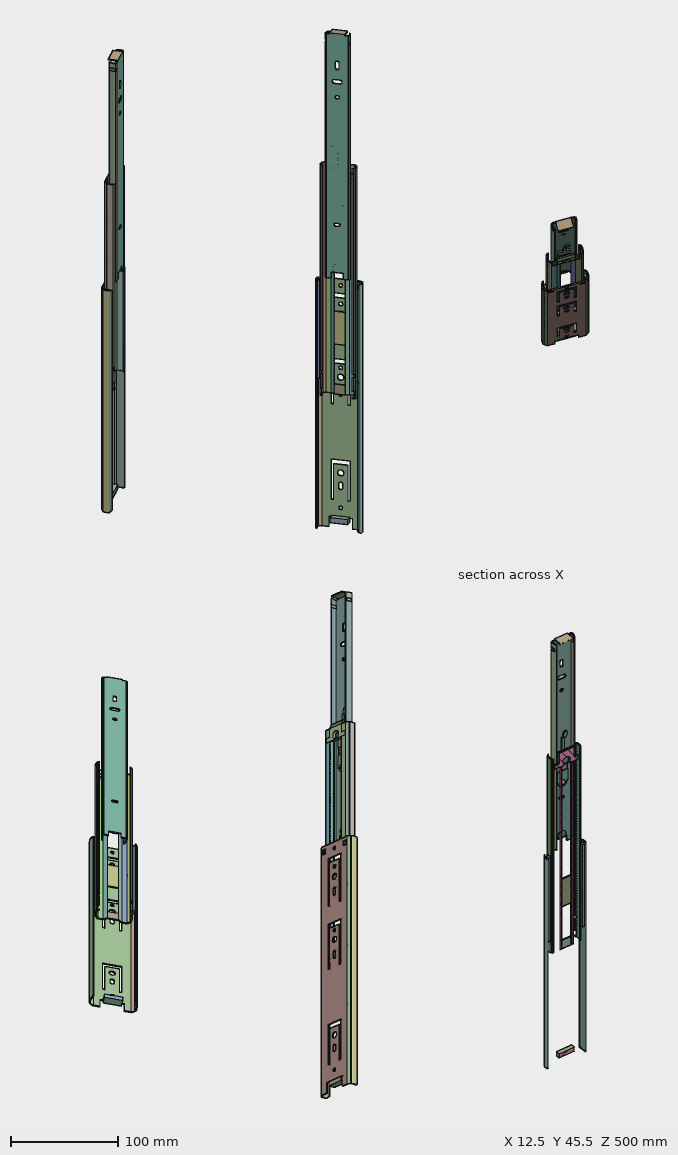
import cadquery as cq

total_length = 500.0
total_depth = 12.5
half_width = 45.5 / 2
sheet = 1.25

outer_length = 249.5
outer_web_half = 37.5 / 2
outer_depth = 21.5 / 2

shoulder_drop = 0.5
lip_drop = 2.0
outer_bulge = (2.5, 8.5)
middle_bulge = (4.5, 10.5)

middle_bottom = 135.0
middle_top = 366.0
middle_front = 1.5
middle_half = 35.5 / 2
middle_web_half = 14.5
middle_depth = 12.0
recess_half = 9.0
recess_depth = 2.0
slot_half = 10.5 / 2
upper_slot_bottom = 218.0
lower_slot_bottom = 145.0
lower_slot_top = 185.0

inner_bottom = 254.0
inner_web_bottom = 260.0
inner_front = 5.0
inner_half = 24.5 / 2
inner_web_half = 10.5
inner_tip_half = 21.5 / 2
inner_bulge = (6.5, 9.5)
inner_bevel = 1.0
inner_web_back = total_depth - sheet

clip_bottom = 353.0
clip_top = 370.5
clip_bar_top = 357.5
clip_bar_half = 13.5
clip_body_half = 17.5 / 2
clip_back = middle_front + recess_depth + sheet
clip_window_z = 357.5
clip_window_radius = 4.0

small_hole = 3.5


def box(x0, x1, y0, y1, z0, z1):
    """Block between two opposite corners."""
    return cq.Workplane("XY").box(x1 - x0, y1 - y0, z1 - z0, centered=False).translate((x0, y0, z0))


def rail(half_section, bottom, top):
    """Straight rail from half of its section, mirrored about Y = 0."""
    half = half_section.close().extrude(top - bottom)
    return half.union(half.mirror("XZ")).translate((0, 0, bottom))


def flanged_half(front, web_half, half, back, bulge):
    """Open half section from the web edge, round the bulged flange, to the back of the web edge."""
    bulge_start, bulge_end = bulge
    bulge_middle = (bulge_start + bulge_end) / 2
    shoulder = half - shoulder_drop
    lip = half - lip_drop
    return (
        cq.Workplane("XY")
        .moveTo(front, web_half)
        .lineTo(bulge_start, shoulder)
        .threePointArc((bulge_middle, half), (bulge_end, shoulder))
        .lineTo(back, lip)
        .lineTo(back, lip - sheet)
        .lineTo(bulge_end, shoulder - sheet)
        .threePointArc((bulge_middle, half - sheet), (bulge_start, shoulder - sheet))
        .lineTo(front + sheet, web_half - sheet / 2)
    )


def cross_hole(z, width, height):
    """Cutter along X for a round or oblong hole on the centre line."""
    face = cq.Workplane("YZ").center(0, z)
    if width == height:
        face = face.circle(width / 2)
    elif width > height:
        face = face.slot2D(width, height)
    else:
        face = face.slot2D(height, width, 90)
    return face.extrude(total_depth)


tongue_half = 7.0
tongue_slot_half = 18.5 / 2
tongue_gap = 4.5
tongue_spans = [(187.0, 235.0), (123.5, 169.0), (27.5, 68.0)]
outer_holes = [
    (243.0, small_hole, small_hole),
    (224.5, 4.0, 4.0),
    (214.5, 6.0, 6.0),
    (199.5, 4.0, 8.5),
    (160.5, small_hole, small_hole),
    (151.0, 6.0, 6.0),
    (136.0, 4.0, 8.0),
    (55.0, 6.0, 6.0),
    (42.0, 4.0, 7.5),
    (20.0, small_hole, small_hole),
]
window_bottom, window_top = 241.5, 246.0
window_inside, window_outside = 13.0, 17.5
end_notch_half = 11.5
end_notch_height = 10.5
end_tab_half = 17.5 / 2
end_tab_bottom = 6.5
end_tab_depth = 7.5
lip_chamfer = 2.0


def tongue_cut(bottom, top):
    """U-shaped slot that leaves a tongue hanging from its lower end."""
    around = box(0, sheet, -tongue_slot_half, tongue_slot_half, bottom, top)
    around = around.edges("|X and <Z").fillet(sheet)
    tongue = box(0, sheet, -tongue_half, tongue_half, bottom, top - tongue_gap)
    return around.cut(tongue)


def make_outer_rail():
    section = flanged_half(0, outer_web_half, half_width, outer_depth, outer_bulge)
    section = section.lineTo(sheet, 0).lineTo(0, 0)
    body = rail(section, 0, outer_length)
    for bottom, top in tongue_spans:
        body = body.cut(tongue_cut(bottom, top))
    for z, width, height in outer_holes:
        body = body.cut(cross_hole(z, width, height))
    for side in (-1, 1):
        edges = sorted((side * window_inside, side * window_outside))
        body = body.cut(box(0, sheet, *edges, window_bottom, window_top))
    body = body.cut(box(0, sheet, -end_notch_half, end_notch_half, 0, end_notch_height))
    tab_front = sheet / 2
    tab_top = end_notch_height + sheet
    tab = box(tab_front, end_tab_depth, -end_tab_half, end_tab_half, end_tab_bottom, tab_top)
    corner = cq.Workplane("XZ", origin=(outer_depth, 0, 0))
    corner = corner.polyline([(0, 0), (-lip_chamfer, 0), (0, lip_chamfer)]).close()
    return body.union(tab).cut(corner.extrude(half_width, both=True))


lip_notches = [(136.5, 142.5), (156.5, 159.5)]
lip_notch_depth = 1.5


def make_middle_rail():
    web_back = middle_front + sheet
    recess_front = middle_front + recess_depth
    section = flanged_half(middle_front, middle_web_half, middle_half, middle_depth, middle_bulge)
    recess_outline = [
        (web_back, recess_half),
        (clip_back, slot_half),
        (clip_back, 0),
        (recess_front, 0),
        (recess_front, slot_half),
        (middle_front, recess_half),
    ]
    for point in recess_outline:
        section = section.lineTo(*point)
    body = rail(section, middle_bottom, middle_top)
    for bottom, top in ((upper_slot_bottom, middle_top), (lower_slot_bottom, lower_slot_top)):
        body = body.cut(box(0, clip_back, -slot_half, slot_half, bottom, top))
    body = body.cut(clip_blank())
    for bottom, top in lip_notches:
        lip_edge = middle_depth - lip_notch_depth
        body = body.cut(box(lip_edge, middle_depth, -middle_half, middle_half, bottom, top))
    return body


inner_holes = [
    (468.0, 3.5, 8.5),
    (451.5, 9.5, 4.0),
    (436.0, 4.0, 3.0),
    (308.0, 6.0, 3.0),
]
flange_notch_half = 22.5 / 2
flange_notch_bottom, flange_notch_top = 490.0, 493.0
web_notch_half = 6.0
top_tab_half = 7.5
top_tab_front = 3.0
bump_z = 264.0
bump_radius = 4.5
bump_height = 0.5


def make_inner_rail():
    flange_top = total_length - sheet
    bulge_start, bulge_end = inner_bulge
    inside = inner_half - sheet
    section = [
        (total_depth, 0),
        (total_depth, inner_web_half),
        (total_depth - inner_bevel, inner_half),
        (bulge_end, inner_half),
        (bulge_start, (inner_half + inner_tip_half) / 2),
        (inner_front, inner_tip_half),
        (inner_front, inner_tip_half - inner_bevel),
        (bulge_end, inside),
        (inner_web_back, inside),
        (inner_web_back, 0),
    ]
    body = rail(cq.Workplane("XY").polyline(section), inner_bottom, flange_top)
    web_end = box(inner_web_back, total_depth, -web_notch_half, web_notch_half, inner_bottom, inner_web_bottom)
    body = body.cut(web_end)
    for z, width, height in inner_holes:
        body = body.cut(cross_hole(z, width, height))
    for side in (-1, 1):
        edges = sorted((side * flange_notch_half, side * inner_half))
        body = body.cut(box(inner_front, total_depth, *edges, flange_notch_bottom, flange_notch_top))
    tab = box(top_tab_front, total_depth, -top_tab_half, top_tab_half, flange_top, total_length)
    bump = cq.Workplane("YZ", origin=(inner_web_back - bump_height, 0, bump_z))
    bump = bump.circle(bump_radius).extrude(bump_height + sheet)
    bump = bump.intersect(box(0, total_depth, -inner_half, inner_half, inner_web_bottom, total_length))
    return body.union(tab).union(bump)


def clip_blank():
    """T-shaped outline of the clip, without its window."""
    bar = box(middle_front, clip_back, -clip_bar_half, clip_bar_half, clip_bottom, clip_bar_top)
    side_outline = [
        (middle_front, clip_bottom),
        (middle_front, middle_top),
        (clip_back - sheet, clip_top),
        (clip_back, clip_top),
        (clip_back, clip_bottom),
    ]
    stem = cq.Workplane("XZ").polyline(side_outline).close().extrude(clip_body_half, both=True)
    return bar.union(stem)


def make_stop_clip():
    return clip_blank().cut(cross_hole(clip_window_z, 2 * clip_window_radius, 2 * clip_window_radius))


lever_thickness = 1.5
lever_front = inner_web_back - lever_thickness
lever_half = 6.0
lever_groove_bottom, lever_groove_top = 341.0, 348.0
lever_groove_depth = 0.5
pivot_z = 327.5
pivot_radius = 5.0
lever_shoulder = 364.5
finger_right, finger_left = -2.25, 0.75
finger_top = 380.0
tip_y, tip_z = -3.25, 383.0
tip_width, tip_length = 4.0, 7.0
tip_tilt = 110
dome_radius = 2.5


def make_latch_lever():
    face = cq.Workplane("YZ", origin=(lever_front, 0, 0))
    plate = box(lever_front, inner_web_back, -lever_half, lever_half, pivot_z, lever_shoulder)
    groove_back = lever_front + lever_groove_depth
    groove = box(lever_front, groove_back, -lever_half, lever_half, lever_groove_bottom, lever_groove_top)
    plate = plate.cut(groove)
    finger = box(lever_front, inner_web_back, finger_right, finger_left, lever_shoulder, finger_top)
    tip = face.center(tip_y, tip_z).slot2D(tip_length, tip_width, tip_tilt).extrude(lever_thickness)
    pivot = face.center(0, pivot_z).circle(pivot_radius).extrude(lever_thickness)
    dome = cq.Workplane("XY").sphere(dome_radius).translate((lever_front, 0, pivot_z))
    dome = dome.intersect(box(0, inner_web_back, -lever_half, lever_half, 0, total_length))
    return plate.union(finger).union(tip).union(pivot).union(dome)


cage_bottom = 150.0
cage_left_top = 251.0
cage_right_top = 248.5
cage_thickness = 2.0
cage_outside = 20.5
cage_front, cage_back = 3.5, 7.5


def make_ball_cage(side, top):
    """Strip in the gap between the outer and middle rails."""
    edges = sorted((side * cage_outside, side * (cage_outside - cage_thickness)))
    return box(cage_front, cage_back, *edges, cage_bottom, top)


outer_rail = make_outer_rail()
middle_rail = make_middle_rail()
inner_rail = make_inner_rail()
stop_clip = make_stop_clip()
latch_lever = make_latch_lever()
ball_cages = [make_ball_cage(side, top) for side, top in ((-1, cage_right_top), (1, cage_left_top))]

bodies = [outer_rail, middle_rail, inner_rail, stop_clip, latch_lever, *ball_cages]
result = cq.Compound.makeCompound([body.solids().val() for body in bodies])